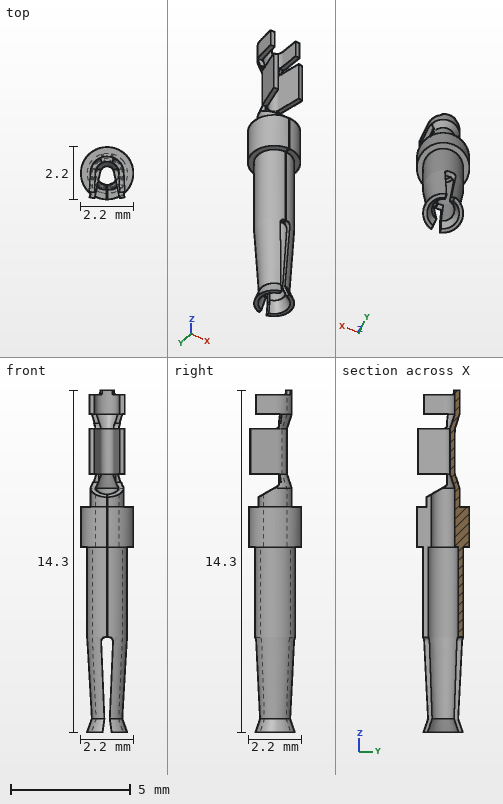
import cadquery as cq
import math

LENGTH = 14.3
FLARE_TOP = 0.56
SLOT_TOP = 3.98
COLLAR_BOTTOM = 7.74
COLLAR_TOP = 9.42
NECK_TOP = 10.2
WIRE_CRIMP_BOTTOM = 10.8
WIRE_CRIMP_TOP = 12.7
CABLE_CRIMP_BOTTOM = 13.3
CABLE_CRIMP_TOP = 14.11

SHEET = 0.21
TINE_SHEET = 0.17
COLLAR_RADIUS = 1.1
BODY_RADIUS = 0.85
WAIST_RADIUS = 0.65
NECK_RADIUS = 0.7
WIRE_RADIUS = 0.5
NECK_BORE = NECK_RADIUS - SHEET
BODY_BORE = BODY_RADIUS - SHEET
WAIST_BORE = WAIST_RADIUS - TINE_SHEET
FLARE_BORE = BODY_RADIUS - TINE_SHEET

WIRE_WING_LENGTH = 1.15
WIRE_WING_TILT = 12.5
CABLE_WING_LENGTH = 0.83
CABLE_WING_TILT = 3.0

SEAM_WIDTH = 0.05
SLOT_TOP_WIDTH = 0.5
SLOT_HALF_TOP = SLOT_TOP_WIDTH / 2
SLOT_HALF_WAIST = 0.107
SLOT_HALF_TIP = 0.19
SLOT_CORNER = 0.19

OPEN_EDGE_Y = 0.16
OPEN_CORNER = 0.11
RAMP_TOP = 10.32
RAMP_ANGLE = 30.0
OPEN_EDGE_ANGLE = 24.0
NECK_EDGE_BOTTOM = 10.45
LINK_EDGE_BOTTOM = 12.91

TAB_HALF_ANGLE = 25.0
TAB_FILLET = 0.09

REACH = 2.86


def make_barrel():
    """Flared tines, body, collar and neck turned as one hollow profile."""
    profile = [
        (FLARE_BORE, 0),
        (BODY_RADIUS, 0),
        (WAIST_RADIUS, FLARE_TOP),
        (BODY_RADIUS, SLOT_TOP),
        (BODY_RADIUS, COLLAR_BOTTOM),
        (COLLAR_RADIUS, COLLAR_BOTTOM),
        (COLLAR_RADIUS, COLLAR_TOP),
        (NECK_RADIUS, COLLAR_TOP),
        (NECK_RADIUS, NECK_TOP),
        (WIRE_RADIUS, WIRE_CRIMP_BOTTOM),
        (WIRE_RADIUS - SHEET, WIRE_CRIMP_BOTTOM),
        (NECK_BORE, NECK_TOP),
        (NECK_BORE, COLLAR_BOTTOM),
        (BODY_BORE, COLLAR_BOTTOM),
        (BODY_BORE, SLOT_TOP),
        (WAIST_BORE, FLARE_TOP),
    ]
    return cq.Workplane("XZ").polyline(profile).close().revolve(360, (0, 0), (0, 1))


def make_edge_wedge(bottom, top):
    """Wedge with radial sides that squares the trough edges to the wall."""
    rise = REACH * math.tan(math.radians(OPEN_EDGE_ANGLE))
    return (
        cq.Workplane("XY").workplane(offset=bottom)
        .polyline([(0, 0), (REACH, rise), (REACH, -REACH), (-REACH, -REACH), (-REACH, rise)])
        .close()
        .extrude(top - bottom)
    )


def cut_neck_opening(barrel):
    """Remove the -Y side above a ramp, leaving an open trough at the back."""
    ramp_drop = (REACH + OPEN_EDGE_Y) * math.tan(math.radians(RAMP_ANGLE))
    opening = (
        cq.Workplane("YZ")
        .polyline([
            (OPEN_EDGE_Y, WIRE_CRIMP_BOTTOM),
            (OPEN_EDGE_Y, RAMP_TOP),
            (-REACH, RAMP_TOP - ramp_drop),
            (-REACH, WIRE_CRIMP_BOTTOM),
        ])
        .close()
        .extrude(REACH, both=True)
        .edges(cq.selectors.NearestToPointSelector((0, OPEN_EDGE_Y, RAMP_TOP)))
        .fillet(OPEN_CORNER)
    )
    above_collar = cq.Workplane("XY").workplane(offset=COLLAR_TOP).rect(REACH, REACH).extrude(LENGTH)
    edge_wedge = make_edge_wedge(NECK_EDGE_BOTTOM, WIRE_CRIMP_BOTTOM)
    return barrel.cut(opening.intersect(above_collar)).cut(edge_wedge)


def cut_seam_and_slot(barrel):
    """Rolled-sheet seam on the -Y side and the slot that separates the two tines."""
    seam = (
        cq.Workplane("XY")
        .box(SEAM_WIDTH, REACH, NECK_TOP - SLOT_TOP, centered=(True, False, False))
        .translate((0, -REACH, SLOT_TOP))
    )
    slot = (
        cq.Workplane("XZ")
        .polyline([
            (-SLOT_HALF_TIP, 0),
            (-SLOT_HALF_WAIST, FLARE_TOP),
            (-SLOT_HALF_TOP, SLOT_TOP),
            (SLOT_HALF_TOP, SLOT_TOP),
            (SLOT_HALF_WAIST, FLARE_TOP),
            (SLOT_HALF_TIP, 0),
        ])
        .close()
        .extrude(REACH, both=True)
        .faces(">Z").edges("|Y").fillet(SLOT_CORNER)
    )
    return barrel.cut(seam).cut(slot)


def make_crimp(radius, wing_length, tilt, bottom, top):
    """U-shaped crimp: a rounded back running tangentially into two splayed wings."""
    angle = math.radians(tilt)

    def bend(r):
        return r * math.cos(angle), r * math.sin(angle)

    def tip(r):
        x, y = bend(r)
        return x + wing_length * math.sin(angle), y - wing_length * math.cos(angle)

    def mirrored(point):
        return -point[0], point[1]

    inner = radius - SHEET
    return (
        cq.Workplane("XY").workplane(offset=bottom)
        .moveTo(*tip(radius))
        .lineTo(*bend(radius))
        .threePointArc((0, radius), mirrored(bend(radius)))
        .lineTo(*mirrored(tip(radius)))
        .lineTo(*mirrored(tip(inner)))
        .lineTo(*mirrored(bend(inner)))
        .threePointArc((0, inner), bend(inner))
        .lineTo(*tip(inner))
        .close()
        .extrude(top - bottom)
    )


def make_crimp_link():
    """Conical trough joining the wire crimp to the wider cable crimp."""
    cone = (
        cq.Workplane("XZ")
        .polyline([
            (WIRE_RADIUS - SHEET, WIRE_CRIMP_TOP),
            (WIRE_RADIUS, WIRE_CRIMP_TOP),
            (NECK_RADIUS, CABLE_CRIMP_BOTTOM),
            (NECK_BORE, CABLE_CRIMP_BOTTOM),
        ])
        .close()
        .revolve(360, (0, 0), (0, 1))
    )
    trough = (
        cq.Workplane("YZ")
        .moveTo(OPEN_EDGE_Y, CABLE_CRIMP_BOTTOM)
        .lineTo(OPEN_EDGE_Y, WIRE_CRIMP_TOP + OPEN_CORNER)
        .radiusArc((OPEN_EDGE_Y - OPEN_CORNER, WIRE_CRIMP_TOP), OPEN_CORNER)
        .lineTo(REACH, WIRE_CRIMP_TOP)
        .lineTo(REACH, CABLE_CRIMP_BOTTOM)
        .close()
        .extrude(REACH, both=True)
    )
    edge_wedge = make_edge_wedge(LINK_EDGE_BOTTOM, CABLE_CRIMP_BOTTOM)
    return cone.intersect(trough).cut(edge_wedge)


def make_tab():
    """Short sector of the back wall left standing above the cable crimp."""
    half_width = REACH * math.tan(math.radians(TAB_HALF_ANGLE))
    tab_height = LENGTH - CABLE_CRIMP_TOP
    sector = (
        cq.Workplane("XY").workplane(offset=CABLE_CRIMP_TOP)
        .polyline([(0, 0), (half_width, REACH), (-half_width, REACH)])
        .close()
        .extrude(tab_height)
    )
    wall = (
        cq.Workplane("XY").workplane(offset=CABLE_CRIMP_TOP)
        .circle(NECK_RADIUS).circle(NECK_BORE)
        .extrude(tab_height)
    )
    return wall.intersect(sector)


def fillet_tab_roots(part):
    """Round the two inside corners where the tab meets the crimp edge."""
    middle = (NECK_RADIUS + NECK_BORE) / 2
    x = middle * math.sin(math.radians(TAB_HALF_ANGLE))
    y = middle * math.cos(math.radians(TAB_HALF_ANGLE))
    for side in (-1, 1):
        root = cq.selectors.NearestToPointSelector((side * x, y, CABLE_CRIMP_TOP))
        part = part.edges(root).fillet(TAB_FILLET)
    return part


barrel = cut_seam_and_slot(cut_neck_opening(make_barrel()))
wire_crimp = make_crimp(
    WIRE_RADIUS, WIRE_WING_LENGTH, WIRE_WING_TILT, WIRE_CRIMP_BOTTOM, WIRE_CRIMP_TOP
)
cable_crimp = make_crimp(
    NECK_RADIUS, CABLE_WING_LENGTH, CABLE_WING_TILT, CABLE_CRIMP_BOTTOM, CABLE_CRIMP_TOP
)
cable_end = fillet_tab_roots(cable_crimp.union(make_tab()))
result = barrel.union(wire_crimp).union(make_crimp_link()).union(cable_end)